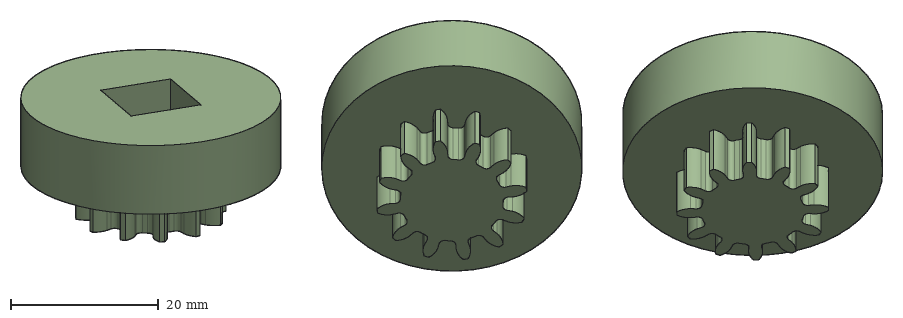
import math

import cadquery as cq

body_diameter = 35.2
body_height = 10.0

socket_side = 10.3
socket_depth = 8.0

gear_height = 7.0
tooth_count = 12
pitch_diameter = body_diameter / 2
module = pitch_diameter / tooth_count
tip_radius = pitch_diameter / 2 + module
root_radius = pitch_diameter / 2 - 1.25 * module
root_fillet_radius = module / 2
tooth_angle = 360 / tooth_count
tip_half_angle = 1.9
flank_start_radius = 8.4
wall_half_angle = 8.5
flank_start_angle = 13.0


def polar(radius, angle):
    """Point at a radius and an angle in degrees."""
    return (radius * math.cos(math.radians(angle)), radius * math.sin(math.radians(angle)))


def mirrored(point):
    """Point on the other side of the tooth space centred on +X."""
    return (point[0], -point[1])


def tangent_arc_middle(start, start_direction, end):
    """Middle of the arc from start to end that leaves start in the given direction (degrees)."""
    chord_x = end[0] - start[0]
    chord_y = end[1] - start[1]
    half_turn = math.atan2(chord_y, chord_x) - math.radians(start_direction)
    half_turn = math.atan2(math.sin(half_turn), math.cos(half_turn))
    rise = math.tan(half_turn / 2) / 2
    middle_x = (start[0] + end[0]) / 2 + rise * chord_y
    middle_y = (start[1] + end[1]) / 2 - rise * chord_x
    return (middle_x, middle_y)


def tooth_space():
    """Tooth space on +X as a solid: filleted root, radial walls and arc flanks."""
    fillet_centre_radius = root_radius + root_fillet_radius
    fillet_angle = math.degrees(math.asin(root_fillet_radius / fillet_centre_radius))
    fillet_top_radius = math.sqrt(fillet_centre_radius**2 - root_fillet_radius**2)
    land_half_angle = wall_half_angle - fillet_angle

    land_end = polar(root_radius, land_half_angle)
    wall_bottom = polar(fillet_top_radius, wall_half_angle)
    wall_top = polar(flank_start_radius, wall_half_angle)
    tip = polar(tip_radius, tooth_angle / 2 - tip_half_angle)

    flank_middle = tangent_arc_middle(wall_top, flank_start_angle, tip)
    fillet_middle = tangent_arc_middle(wall_bottom, wall_half_angle + 180, land_end)
    return (
        cq.Workplane("XY")
        .moveTo(*mirrored(tip))
        .threePointArc(mirrored(flank_middle), mirrored(wall_top))
        .lineTo(*mirrored(wall_bottom))
        .threePointArc(mirrored(fillet_middle), mirrored(land_end))
        .threePointArc((root_radius, 0), land_end)
        .threePointArc(fillet_middle, wall_bottom)
        .lineTo(*wall_top)
        .threePointArc(flank_middle, tip)
        .lineTo(tip_radius, tip[1])
        .lineTo(tip_radius, -tip[1])
        .close()
        .extrude(-gear_height)
    )


def make_gear():
    gear = cq.Workplane("XY").circle(tip_radius).extrude(-gear_height)
    space = tooth_space()
    for index in range(tooth_count):
        gear = gear.cut(space.rotate((0, 0, 0), (0, 0, 1), index * tooth_angle))
    return gear


def make_body():
    body = cq.Workplane("XY").circle(body_diameter / 2).extrude(body_height)
    socket = (
        cq.Workplane("XY")
        .workplane(offset=body_height)
        .rect(socket_side, socket_side)
        .extrude(-socket_depth)
    )
    return body.cut(socket)


result = make_body().union(make_gear())